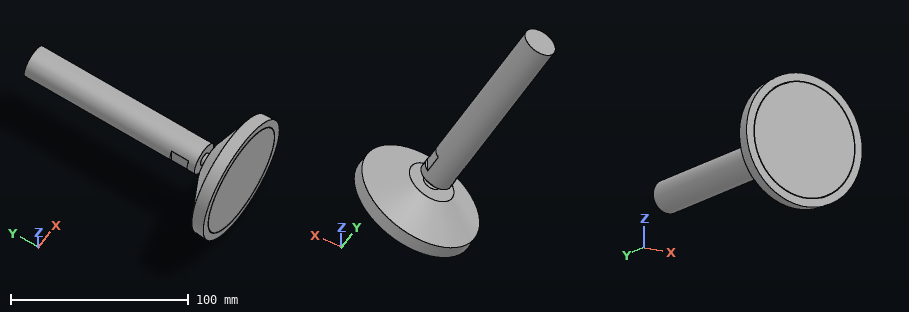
import cadquery as cq

total_length = 140.0
ground_y = -total_length / 2

foot_diameter = 78.0
rim_top_diameter = 77.1
rim_height = 8.1
crown_diameter = 29.1
foot_height = 20.0

neck_diameter = 7.8
collar_height = 1.3
collar_diameter = 10.9

stem_diameter = 20.0
stem_bottom = 25.0
flats_bottom = 30.0
flats_length = 11.5
width_across_flats = 17.0

pad_diameter = 67.5
recess_diameter = 68.0
pad_thickness = 2.8


def disc(diameter, height):
    """Disc standing on the ground plane, centred on the Y axis."""
    return (
        cq.Workplane("XZ", origin=(0, ground_y, 0))
        .circle(diameter / 2)
        .extrude(-height)
    )


def turned_leg():
    """Foot, neck and stem as one shape revolved about the Y axis."""
    profile = [
        (0, 0),
        (foot_diameter / 2, 0),
        (rim_top_diameter / 2, rim_height),
        (crown_diameter / 2, foot_height),
        (collar_diameter / 2, foot_height),
        (neck_diameter / 2, foot_height + collar_height),
        (neck_diameter / 2, stem_bottom),
        (stem_diameter / 2, stem_bottom),
        (stem_diameter / 2, total_length),
        (0, total_length),
    ]
    return (
        cq.Workplane("XY", origin=(0, ground_y, 0))
        .polyline(profile)
        .close()
        .revolve(360, (0, 0), (0, 1))
    )


def flat_cutter(side):
    """Block that cuts one wrench flat; side is -1 or 1 along X."""
    block_size = stem_diameter
    center_x = side * (width_across_flats + block_size) / 2
    center_y = ground_y + flats_bottom + flats_length / 2
    return cq.Workplane("XY", origin=(center_x, center_y, 0)).box(block_size, flats_length, block_size)


def make_leg():
    """Leg with its two wrench flats and the recess for the pad."""
    leg = turned_leg()
    for side in (-1, 1):
        leg = leg.cut(flat_cutter(side))
    return leg.cut(disc(recess_diameter, pad_thickness))


def make_pad():
    """Round pad, flush with the underside of the foot."""
    return disc(pad_diameter, pad_thickness)


leg = make_leg()
pad = make_pad()

result = cq.Compound.makeCompound([leg.val(), pad.val()])